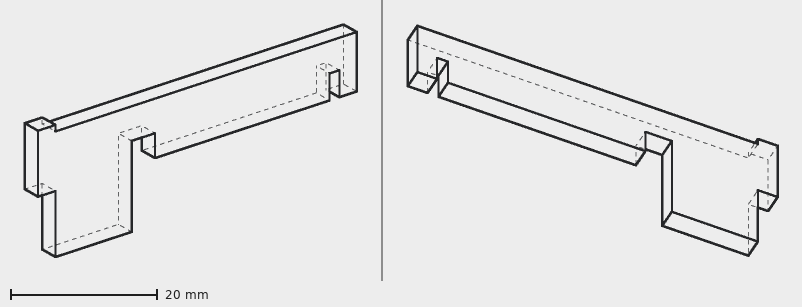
import cadquery as cq

length = 54.6
height = 20.0
thickness = 3.0

stop_length = 3.0
stop_rise = 1.0

bar_height = 9.0
leg_length = 13.05

notch_length = 4.0
notch_depth = 3.75

slot_width = 1.65
slot_depth = 4.1
slot_end_margin = 3.0

bar_top = height - stop_rise
bar_bottom = bar_top - bar_height
leg_back = stop_length + leg_length
slot_front = length - slot_end_margin - slot_width


def plate_block(y_start, z_start, y_size, z_size):
    """Full-thickness block placed by its lower front corner."""
    return cq.Workplane("XY").box(thickness, y_size, z_size, centered=False).translate((0, y_start, z_start))


bar = plate_block(0, bar_bottom, length, bar_height)
stop = plate_block(0, bar_bottom, stop_length, bar_height + stop_rise)
leg = plate_block(stop_length, 0, leg_length, bar_top)
notch = plate_block(leg_back, bar_bottom, notch_length, notch_depth)
slot = plate_block(slot_front, bar_bottom, slot_width, slot_depth)

result = bar.union(stop).union(leg).cut(notch).cut(slot)